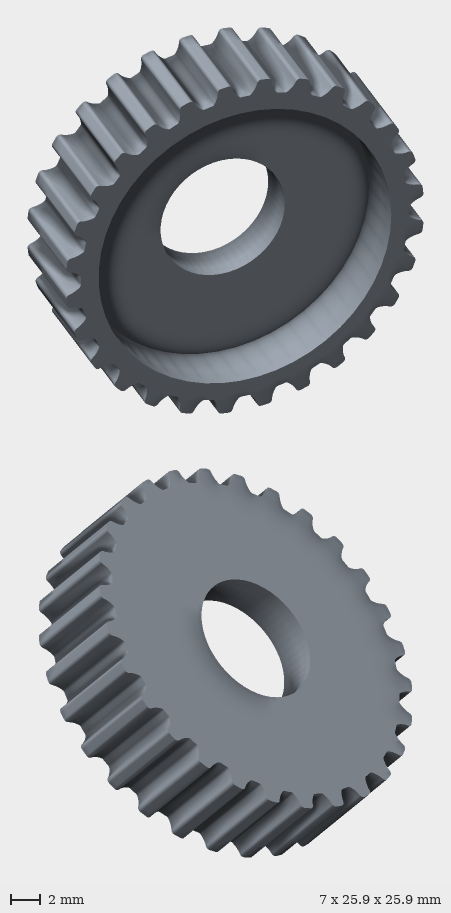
import cadquery as cq
import math

width = 7.0
outer_radius = 12.99
bore_radius = 4.5
tooth_count = 28

web_thickness = 3.0
recess_radius = 10.6

root_radius = 11.87
root_half_width = 0.35
mouth_half_width = 0.93
flank_radius = 1.68
root_round = 0.25
tip_round = 0.28
overcut = 0.25


def height_on_circle(radius, half_width):
    """Height of a circle about the part's axis at a distance from the groove's centre line."""
    return math.sqrt(radius**2 - half_width**2)


def groove_cutter():
    """Sharp-cornered cutter for one groove, centred on the +Z axis."""
    root_height = height_on_circle(root_radius, root_half_width)
    mouth_height = height_on_circle(outer_radius, mouth_half_width)
    top_height = outer_radius + overcut
    return (
        cq.Workplane("YZ")
        .moveTo(-mouth_half_width, top_height)
        .lineTo(-mouth_half_width, mouth_height)
        .radiusArc((-root_half_width, root_height), -flank_radius)
        .threePointArc((0, root_radius), (root_half_width, root_height))
        .radiusArc((mouth_half_width, mouth_height), -flank_radius)
        .lineTo(mouth_half_width, top_height)
        .close()
        .extrude(width / 2, both=True)
    )


def toothed_ring():
    """Bored disc about the X axis with a ring of grooves, one centred on +Z."""
    disc = cq.Workplane("YZ").circle(outer_radius).circle(bore_radius).extrude(width / 2, both=True)
    cutter = groove_cutter()
    for index in range(tooth_count):
        turn = index * 360 / tooth_count
        disc = disc.cut(cutter.rotate((0, 0, 0), (1, 0, 0), turn))
    return disc


def recess_cutter():
    """Round plug from the web's inner side to the +X face."""
    web_side = web_thickness - width / 2
    return cq.Workplane("YZ", origin=(web_side, 0, 0)).circle(recess_radius).extrude(width - web_thickness)


def round_lengthwise_edges(body, edge_radius, round_radius):
    """Round every edge along X that lies at one distance from the part's axis."""
    edges = [
        edge
        for edge in body.edges("|X").vals()
        if math.isclose(math.hypot(edge.Center().y, edge.Center().z), edge_radius, abs_tol=0.0003)
    ]
    return body.newObject(edges).fillet(round_radius)


ring = toothed_ring().cut(recess_cutter())
ring = round_lengthwise_edges(ring, root_radius, root_round)
result = round_lengthwise_edges(ring, outer_radius, tip_round)